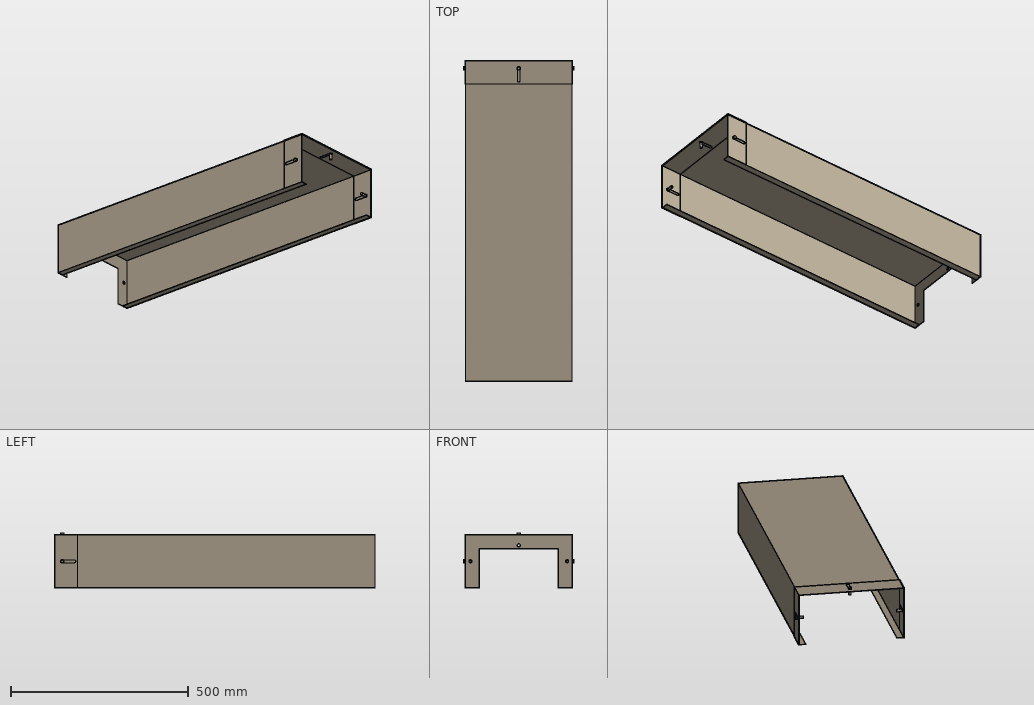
import cadquery as cq

overall_length = 904.0
back_overhang = 2.0
cover_width = 301.0
cover_height = 150.0
sheet = 1.2
lip_width = 20.0

frame_width = 40.0
end_hole_diameter = 8.0
side_hole_inset = 14.5
top_hole_drop = 30.0

collar_length = 66.0
slot_width = 8.0
slot_start = 17.0
slot_end = 61.0

head_diameter = 10.0
head_height = 3.9
shank_diameter = 7.0
shank_length = 18.0
bolt_inset = 23.0
side_bolt_height = cover_height / 2

back_y = overall_length / 2
front_y = -overall_length / 2
cover_back_y = back_y - back_overhang
collar_width = cover_width + 2 * sheet
collar_height = cover_height + sheet
bolt_y = back_y - bolt_inset


def block(width, y_min, y_max, z_min, z_max):
    """Box centred on X between the given Y and Z limits."""
    return (
        cq.Workplane("XY")
        .box(width, y_max - y_min, z_max - z_min, centered=(True, False, False))
        .translate((0, y_min, z_min))
    )


def channel(width, height, y_min, y_max):
    """Sheet channel with a top and two side walls, open below."""
    outside = block(width, y_min, y_max, 0, height)
    inside = block(width - 2 * sheet, y_min, y_max, 0, height - sheet)
    return outside.cut(inside)


def on_three_walls(shape, wall_width, wall_height):
    """Copies of a shape modelled upright at the origin, set on the top and on both side walls."""
    return [
        shape.translate((0, 0, wall_height)),
        shape.rotate((0, 0, 0), (0, 1, 0), 90).translate((wall_width / 2, 0, side_bolt_height)),
        shape.rotate((0, 0, 0), (0, 1, 0), -90).translate((-wall_width / 2, 0, side_bolt_height)),
    ]


def make_end_plate():
    """Arch across the front of the cover, with one hole in each leg and one above the opening."""
    plate = block(cover_width, front_y, front_y + sheet, 0, cover_height)
    opening = block(cover_width - 2 * frame_width, front_y, front_y + sheet, 0, cover_height - frame_width)
    side_hole_x = cover_width / 2 - side_hole_inset
    hole_places = [
        (-side_hole_x, side_bolt_height),
        (0, cover_height - top_hole_drop),
        (side_hole_x, side_bolt_height),
    ]
    holes = (
        cq.Workplane("XZ", origin=(0, front_y + sheet, 0))
        .pushPoints(hole_places)
        .circle(end_hole_diameter / 2)
        .extrude(sheet)
    )
    return plate.cut(opening).cut(holes)


def make_lips():
    """Inward flanges along the bottom of both side walls."""
    lips = block(cover_width, front_y, cover_back_y, 0, sheet)
    gap = block(cover_width - 2 * lip_width, front_y, cover_back_y, 0, sheet)
    return lips.cut(gap)


def make_cover():
    """Channel, lips and end plate in one piece, with a hole for each bolt."""
    walls = channel(cover_width, cover_height, front_y, cover_back_y)
    cover = walls.union(make_lips()).union(make_end_plate())
    bolt_hole = cq.Workplane("XY").circle(shank_diameter / 2).extrude(-sheet).translate((0, bolt_y, 0))
    for hole in on_three_walls(bolt_hole, cover_width, cover_height):
        cover = cover.cut(hole)
    return cover


def make_collar():
    """Channel around the back of the cover, with a lengthwise slot in each wall."""
    collar = channel(collar_width, collar_height, back_y - collar_length, back_y)
    slot_middle = back_y - (slot_start + slot_end) / 2
    slot = (
        cq.Workplane("XY")
        .slot2D(slot_end - slot_start, slot_width, 90)
        .extrude(-sheet)
        .translate((0, slot_middle, 0))
    )
    for cutter in on_three_walls(slot, collar_width, collar_height):
        collar = collar.cut(cutter)
    return collar


def make_bolt():
    """Bolt with its head above the origin plane and its shank below."""
    head = cq.Workplane("XY").circle(head_diameter / 2).extrude(head_height)
    shank = cq.Workplane("XY").circle(shank_diameter / 2).extrude(-shank_length)
    return head.union(shank).translate((0, bolt_y, 0))


cover = make_cover()
collar = make_collar()
bolts = on_three_walls(make_bolt(), collar_width, collar_height)

result = cq.Compound.makeCompound([cover.val(), collar.val(), *[bolt.val() for bolt in bolts]])